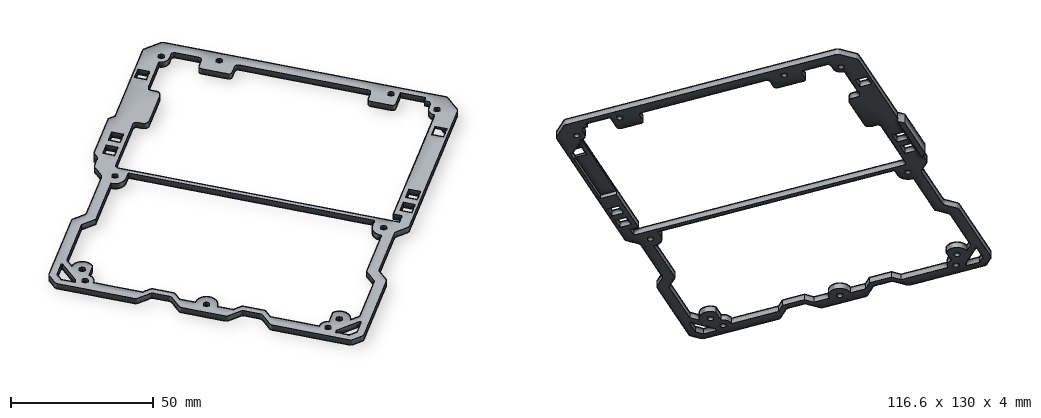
import cadquery as cq
import math

body_half_width = 57.3
half_length = 65.0
plate_thickness = 2.5
rail = 4.0
waist_step = 4.0
top_corner_chamfer = 5.5
bottom_corner_chamfer = 3.5
outer_fillet = 1.5

lip_thickness = 2.0
lip_depth = 4.0
lip_center_y = 12.6
lip_half_length = 11.2

crossbar_top = -1.7
crossbar_bottom = -3.2
waist_top = crossbar_bottom
waist_bottom = -31.7

window_half_width = 50.2
window_top = half_length - rail
corner_fillet = 1.3
ear_radius = 3.0
ear_hole = (window_half_width, 57.8)
ear_edge_x = window_half_width - ear_radius
ear_bottom = ear_hole[1] - ear_radius
top_tab_bottom = 55.5
left_tab_x = (-36.1, -24.0)
right_tab_x = (25.5, 35.5)
side_tab_y = (22.8, 40.0)
side_tab_edge_x = -45.1
side_tab_fillet = 2.0
top_notch_end_x = 44.7
top_notch_y = 62.7
side_notch_x = 53.4
side_notch_top = 1.7

boss_radius = 4.0
mid_hole = (48.9, -6.0)
bottom_rail_y = -half_length + rail
lower_corner_cut = 8.7

arch_center_x = 16.5
arch_height = 4.4
arch_half_width = 3.5
arch_wall = 2.2
arch_inner_half_width = 4.2

corner_hole = (46.8, -55.5)
corner_boss_edge_x = 43.7
lower_hole = (44.2, -60.8)
lower_boss_radius = 3.1
center_hole = (0, bottom_rail_y)
corner_window = [
    (54.6, -54.9),
    (54.1, -54.9),
    (47.5, -61.5),
    (47.5, -62.5),
    (52.4, -62.5),
    (54.6, -60.3),
]

hole_diameter = 2.2
tab_hole_y = 61.2
tab_hole_x = (-30.0, 32.5)
square_size = 4.3
square_x = 54.1
square_y = (6.4, 13.4, 47.0)

pocket_depth = 1.5
pocket_outer_x = 56.2
pocket_y = (21.8, 54.3)

plate_bottom = lip_depth - plate_thickness
tiny_length = 0.001


def rounded_outline(corners):
    """Closed outline through (x, y, radius) corners; each radius rounds its corner with a tangent arc.

    The first corner must be sharp (radius 0).
    """
    position = cq.Vector(*corners[0][:2])
    sketch = cq.Workplane("XY", origin=(0, 0, plate_bottom)).moveTo(position.x, position.y)
    following = corners[2:] + corners[:1]
    for previous, (x, y, radius), following_corner in zip(corners, corners[1:], following):
        corner = cq.Vector(x, y)
        to_previous = (cq.Vector(*previous[:2]) - corner).normalized()
        to_following = (cq.Vector(*following_corner[:2]) - corner).normalized()
        half_angle = to_previous.getAngle(to_following) / 2
        setback = radius / math.tan(half_angle)
        arc_start = corner + to_previous * setback
        arc_end = corner + to_following * setback
        if (arc_start - position).Length > tiny_length:
            sketch = sketch.lineTo(arc_start.x, arc_start.y)
        if radius > 0:
            bisector = (to_previous + to_following).normalized()
            arc_middle = corner + bisector * (radius / math.sin(half_angle) - radius)
            sketch = sketch.threePointArc((arc_middle.x, arc_middle.y), (arc_end.x, arc_end.y))
        position = arc_end
    return sketch.close()


def prism(points):
    """Plate-thick prism over a sharp-cornered outline."""
    return cq.Workplane("XY", origin=(0, 0, plate_bottom)).polyline(points).close().extrude(plate_thickness)


def mirrored(points):
    """The same points on the other side of X = 0, in reverse order."""
    return [(-x, y) for x, y in reversed(points)]


def disc(center, radius):
    return cq.Workplane("XY", origin=(*center, plate_bottom)).circle(radius).extrude(plate_thickness)


def box(x_range, y_range, z_range):
    size = [high - low for low, high in (x_range, y_range, z_range)]
    corner = (x_range[0], y_range[0], z_range[0])
    return cq.Workplane("XY", origin=corner).box(*size, centered=False)


def arch(half_width, base_y, top_y):
    """Right half-plane trapezoid with 45 degree sides, centred on the arch."""
    base = half_width + top_y - base_y
    return [
        (arch_center_x - base, base_y),
        (arch_center_x - half_width, top_y),
        (arch_center_x + half_width, top_y),
        (arch_center_x + base, base_y),
    ]


def frame_blank():
    arch_notch = arch(arch_half_width, -half_length, -half_length + arch_height)
    waist_x = body_half_width - waist_step
    right_side = arch_notch + [
        (body_half_width - bottom_corner_chamfer, -half_length),
        (body_half_width, -half_length + bottom_corner_chamfer),
        (body_half_width, waist_bottom),
        (waist_x, waist_bottom + waist_step),
        (waist_x, waist_top - waist_step),
        (body_half_width, waist_top),
        (body_half_width, half_length - top_corner_chamfer),
        (body_half_width - top_corner_chamfer, half_length),
    ]
    return prism(right_side + mirrored(right_side)).edges("|Z").fillet(outer_fillet)


def side_lip():
    outer_x = -body_half_width - lip_thickness
    low = lip_center_y - lip_half_length
    high = lip_center_y + lip_half_length
    outline = [
        (-body_half_width, low),
        (outer_x, low + lip_thickness),
        (outer_x, high - lip_thickness),
        (-body_half_width, high),
    ]
    return cq.Workplane("XY").polyline(outline).close().extrude(lip_depth)


def upper_window():
    corners = [
        (side_notch_x, crossbar_top, 0),
        (-window_half_width, crossbar_top, corner_fillet),
        (-window_half_width, side_tab_y[0], corner_fillet),
        (side_tab_edge_x, side_tab_y[0], side_tab_fillet),
        (side_tab_edge_x, side_tab_y[1], side_tab_fillet),
        (-window_half_width, side_tab_y[1], corner_fillet),
        (-window_half_width, ear_bottom, 0),
        (-ear_edge_x, ear_bottom, ear_radius),
        (-ear_edge_x, window_top, corner_fillet),
        (left_tab_x[0], window_top, corner_fillet),
        (left_tab_x[0], top_tab_bottom, corner_fillet),
        (left_tab_x[1], top_tab_bottom, corner_fillet),
        (left_tab_x[1], window_top, corner_fillet),
        (right_tab_x[0], window_top, corner_fillet),
        (right_tab_x[0], top_tab_bottom, corner_fillet),
        (right_tab_x[1], top_tab_bottom, corner_fillet),
        (right_tab_x[1], top_notch_y, 0),
        (top_notch_end_x, top_notch_y, 0),
        (top_notch_end_x, window_top, 0),
        (ear_edge_x, window_top, corner_fillet),
        (ear_edge_x, ear_bottom, ear_radius),
        (window_half_width, ear_bottom, 0),
        (window_half_width, side_notch_top, 0),
        (side_notch_x, side_notch_top, 0),
    ]
    return rounded_outline(corners).extrude(plate_thickness)


def lower_window():
    lower_x = body_half_width - rail
    waist_x = lower_x - waist_step
    bend_shift = rail * math.tan(math.radians(22.5))
    bend_y = waist_bottom - bend_shift
    ear_x = mid_hole[0] - boss_radius
    ear_y = mid_hole[1] - boss_radius
    bump = arch(arch_inner_half_width, bottom_rail_y, -half_length + arch_height + arch_wall)
    right_side = [(x, y, 0) for x, y in bump] + [
        (lower_x - lower_corner_cut, bottom_rail_y, 0),
        (lower_x, bottom_rail_y + lower_corner_cut, 0),
        (lower_x, bend_y, 0),
        (waist_x, bend_y + waist_step, 0),
        (waist_x, ear_y, 0),
        (ear_x, ear_y, boss_radius),
        (ear_x, crossbar_bottom, 0),
    ]
    left_side = [(-x, y, radius) for x, y, radius in reversed(right_side)]
    return rounded_outline(right_side + left_side).extrude(plate_thickness)


def bottom_bosses():
    """Bosses of the bottom rail: one in the middle and a pair in each corner."""
    plate_z = (plate_bottom, lip_depth)
    corner_limit = box(
        (corner_boss_edge_x, body_half_width), (-half_length, 0), plate_z
    )
    right = disc(corner_hole, boss_radius).intersect(corner_limit)
    right = right.union(disc(lower_hole, lower_boss_radius))
    return right.union(right.mirror("YZ")).union(disc(center_hole, boss_radius))


def rail_pocket():
    """Pocket in the underside whose +Y end runs at 45 degrees from the window to the rail's outer wall."""
    outline = [
        (window_half_width, pocket_y[0]),
        (pocket_outer_x, pocket_y[0]),
        (pocket_outer_x, pocket_y[1] - (pocket_outer_x - window_half_width)),
        (window_half_width, pocket_y[1]),
    ]
    return cq.Workplane("XY", origin=(0, 0, plate_bottom)).polyline(outline).close().extrude(pocket_depth)


def round_holes():
    centers = [center_hole] + [(x, tab_hole_y) for x in tab_hole_x]
    for x, y in (ear_hole, mid_hole, corner_hole, lower_hole):
        centers += [(x, y), (-x, y)]
    return cq.Workplane("XY").pushPoints(centers).circle(hole_diameter / 2).extrude(lip_depth)


def square_holes():
    centers = [(side * square_x, y) for side in (-1, 1) for y in square_y]
    return cq.Workplane("XY").pushPoints(centers).rect(square_size, square_size).extrude(lip_depth)


result = frame_blank().union(side_lip())
result = result.cut(upper_window()).cut(lower_window()).union(bottom_bosses())
result = result.cut(prism(corner_window)).cut(prism(mirrored(corner_window)))
result = result.cut(rail_pocket()).cut(round_holes()).cut(square_holes())